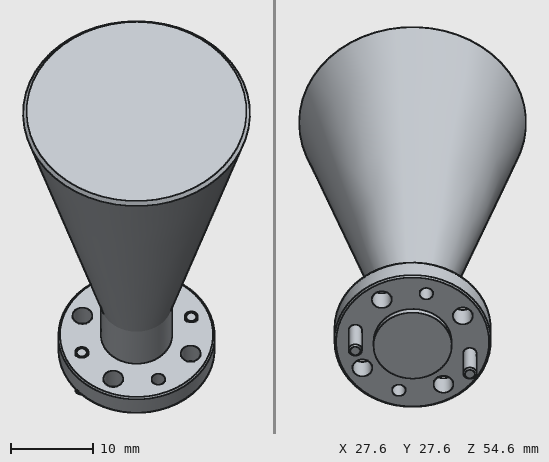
import cadquery as cq
import math

total_height = 54.65
boss_bottom = 3.8
flange_bottom = 4.65
flange_top = 7.9
neck_top = 14.65

rim_diameter = 27.6
rim_chamfer = 0.45
neck_diameter = 8.7
flange_diameter = 19.0
flange_chamfer = 0.2
boss_diameter = 9.5

hole_circle_radius = 7.15
screw_hole_diameter = 2.4
pin_diameter = 1.65
pin_chamfer = 0.2
screw_angles = [0, 90, 180, 270]
open_dowel_angles = [135, 315]
pin_angles = [45, 225]


def circle_point(angle):
    """Point on the hole circle at an angle in degrees from +X."""
    radians = math.radians(angle)
    return (hole_circle_radius * math.cos(radians), hole_circle_radius * math.sin(radians))


def disc(diameter, bottom, top):
    """Cylinder on the Z axis between two heights."""
    return cq.Workplane("XY").workplane(offset=bottom).circle(diameter / 2).extrude(top - bottom)


def flange_holes(diameter, angles):
    """Cylinders through the full flange thickness, placed on the hole circle."""
    points = [circle_point(angle) for angle in angles]
    drill = cq.Workplane("XY").workplane(offset=flange_bottom).pushPoints(points)
    return drill.circle(diameter / 2).extrude(flange_top - flange_bottom)


def make_horn_cone():
    """Cone that widens from the neck to the chamfered rim."""
    rim_radius = rim_diameter / 2
    profile = (
        cq.Workplane("XZ")
        .moveTo(0, neck_top)
        .lineTo(neck_diameter / 2, neck_top)
        .lineTo(rim_radius, total_height - rim_chamfer)
        .lineTo(rim_radius - rim_chamfer, total_height)
        .lineTo(0, total_height)
        .close()
    )
    return profile.revolve(360, (0, 0), (0, 1))


def make_horn():
    """Horn with its neck, flange and locating boss as one body."""
    flange = disc(flange_diameter, flange_bottom, flange_top).edges().chamfer(flange_chamfer)
    flange = flange.cut(flange_holes(screw_hole_diameter, screw_angles))
    flange = flange.cut(flange_holes(pin_diameter, open_dowel_angles + pin_angles))
    boss = disc(boss_diameter, boss_bottom, flange_bottom)
    neck = disc(neck_diameter, flange_top, neck_top)
    return flange.union(boss).union(neck).union(make_horn_cone())


def make_pin(angle):
    """Dowel pin, chamfered at both ends and flush with the flange top."""
    return disc(pin_diameter, 0, flange_top).edges().chamfer(pin_chamfer).translate((*circle_point(angle), 0))


horn = make_horn()

pins = []
for pin_angle in pin_angles:
    pins.append(make_pin(pin_angle))

result = cq.Compound.makeCompound([horn.val(), *[pin.val() for pin in pins]])